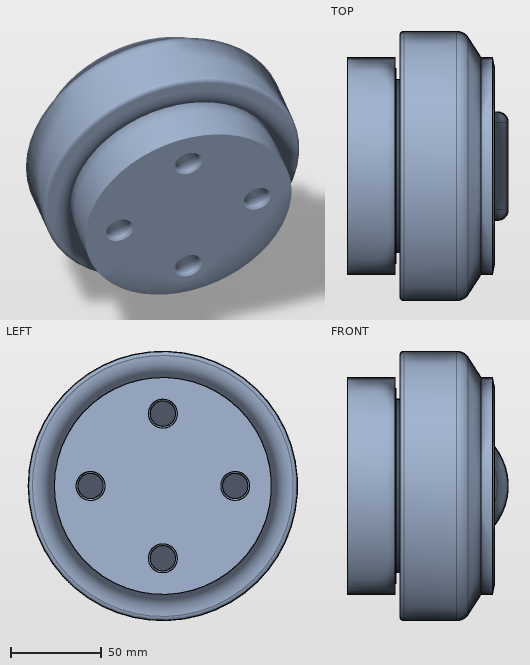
import cadquery as cq
import math


flange_radius = 60.0
flange_thickness = 26.4
land_radius = 54.0
land_height = 0.5
neck_radius = 48.0

roller_radius = 74.5
roller_start = 29.0
rear_round = 2.3
crown_start = 60.5
crown_round = 7.5
cone_end = 73.9
hub_radius = flange_radius
hub_taper_start = 80.2
hub_face = 81.5
hub_face_radius = 54.0

overall_length = 89.0
side_roller_radius = 35.0
side_roller_width = 60.0
side_roller_round = 6.0

hole_count = 4
hole_circle_radius = 40.0
hole_diameter = 14.0
hole_chamfer = 1.0
mouth_taper_angle = 45.0
hole_depth = 20.0


def arc_point(center_x, center_r, radius, angle):
    """Profile point (x, r) on an arc, with the angle measured from the outward radial direction."""
    return (center_x + radius * math.sin(angle), center_r + radius * math.cos(angle))


def make_body():
    """Flange, neck and main roller as one solid of revolution about X."""
    land_face = flange_thickness + land_height

    rear_center_x = roller_start + rear_round
    rear_center_r = roller_radius - rear_round
    rear_arc_middle = arc_point(rear_center_x, rear_center_r, rear_round, -math.pi / 4)

    crown_center_r = roller_radius - crown_round
    cone_run = cone_end - crown_start
    cone_drop = crown_center_r - hub_radius
    crown_angle = math.asin(crown_round / math.hypot(cone_run, cone_drop)) + math.atan2(cone_drop, cone_run)
    crown_arc_middle = arc_point(crown_start, crown_center_r, crown_round, crown_angle / 2)
    crown_arc_end = arc_point(crown_start, crown_center_r, crown_round, crown_angle)

    profile = (
        cq.Workplane("XY")
        .moveTo(0, 0)
        .lineTo(0, flange_radius)
        .lineTo(flange_thickness, flange_radius)
        .lineTo(flange_thickness, land_radius)
        .lineTo(land_face, land_radius)
        .lineTo(land_face, neck_radius)
        .lineTo(roller_start, neck_radius)
        .lineTo(roller_start, rear_center_r)
        .threePointArc(rear_arc_middle, (rear_center_x, roller_radius))
        .lineTo(crown_start, roller_radius)
        .threePointArc(crown_arc_middle, crown_arc_end)
        .lineTo(cone_end, hub_radius)
        .lineTo(hub_taper_start, hub_radius)
        .lineTo(hub_face, hub_face_radius)
        .lineTo(hub_face, 0)
        .close()
    )
    return profile.revolve(360, (0, 0, 0), (1, 0, 0))


def make_side_roller():
    """Disc with rounded rims, its outermost line at the full length of the part."""
    return (
        cq.Workplane("XZ")
        .center(overall_length - side_roller_radius, 0)
        .circle(side_roller_radius)
        .extrude(side_roller_width / 2, both=True)
        .edges("%CIRCLE")
        .fillet(side_roller_round)
    )


def make_mounting_holes():
    """Blind holes on a circle about X, each with a chamfered mouth at the rear face."""
    hole_radius = hole_diameter / 2
    mouth_radius = hole_radius + hole_chamfer
    rear_face = cq.Workplane("YZ").polarArray(hole_circle_radius, 0, 360, hole_count)
    bores = rear_face.circle(hole_radius).extrude(hole_depth)
    mouths = rear_face.circle(mouth_radius).extrude(hole_chamfer, taper=mouth_taper_angle)
    return bores.union(mouths)


result = make_body().union(make_side_roller()).cut(make_mounting_holes())